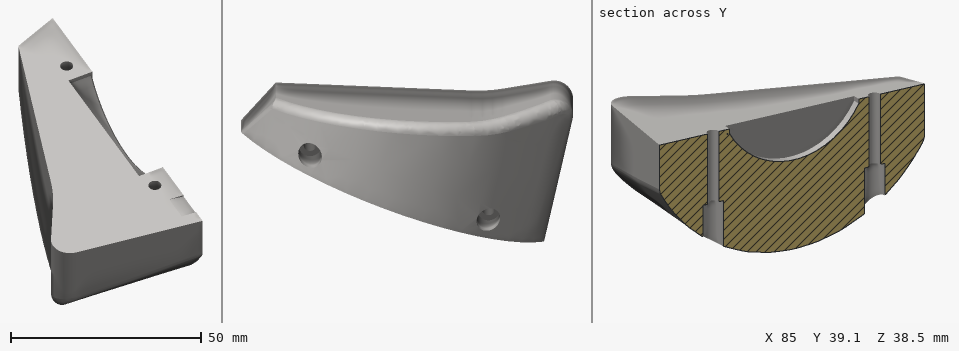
import math

import cadquery as cq

length = 85.0
depth = 39.11
height = 38.5
half_length = length / 2

left_corner_x = -37.5
bend_x = 15.4
bend_radius = 38.5
tip_radius = 5.0
left_front_angle = math.radians(18.0)
right_front_angle = math.radians(30.0)
right_side_angle = math.radians(8.17)

side_height = 12.5
belly_sag = height - side_height
belly_radius = (half_length**2 + belly_sag**2) / (2 * belly_sag)
belly_axis_z = belly_radius - height
belly_taper = math.radians(2.7)
belly_fillet = 3.0

notch_width = 40.0
notch_depth = 7.1
notch_wall = 1.3
notch_radius = 23.0
notch_chamfer = 0.5

hole_diameter = 3.4
counterbore_diameter = 6.2
counterbore_top_z = -20.0
hole_spacing = 50.0
hole_y = -5.0
hole_centres = [(-hole_spacing / 2, hole_y), (hole_spacing / 2, hole_y)]

pocket_left_x = 31.7
pocket_width = 7.1
pocket_depth = 4.1
pocket_skew = 0.3
pocket_back_fall = 0.5


def plan_prism():
    """Vertical prism with the plan outline, bend and tip rounded."""
    tip_y = tip_radius - depth
    tip_x = half_length - (tip_radius - tip_y * math.sin(right_side_angle)) / math.cos(right_side_angle)

    def tip_point(angle):
        return (tip_x + tip_radius * math.cos(angle), tip_y + tip_radius * math.sin(angle))

    tip_start = tip_point(-math.pi / 2 - right_front_angle)
    tip_bottom = tip_point(-math.pi / 2)
    tip_end = tip_point(-right_side_angle)
    bend_y = tip_start[1] + (tip_start[0] - bend_x) * math.tan(right_front_angle)
    left_corner_y = bend_y + (bend_x - left_corner_x) * math.tan(left_front_angle)

    prism = (
        cq.Workplane("XY")
        .moveTo(-half_length, 0)
        .lineTo(left_corner_x, left_corner_y)
        .lineTo(bend_x, bend_y)
        .lineTo(*tip_start)
        .threePointArc(tip_bottom, tip_end)
        .lineTo(half_length, 0)
        .close()
        .extrude(-height)
    )
    bend_edge = cq.selectors.NearestToPointSelector((bend_x, bend_y, -height / 2))
    return prism.edges(bend_edge).fillet(bend_radius)


def belly_cone():
    """Tapered round whose underside forms the belly."""
    front_radius = belly_radius - depth * math.tan(belly_taper)
    cone = cq.Solid.makeCone(
        belly_radius, front_radius, depth, cq.Vector(0, 0, belly_axis_z), cq.Vector(0, -1, 0)
    )
    return cq.Workplane(cone)


def body():
    """Prism trimmed by the belly, with the belly rim rounded except along the back."""
    trimmed = plan_prism().intersect(belly_cone())
    return trimmed.faces("%CONE").edges("not >Y").fillet(belly_fillet)


def cut_notch(part):
    """Cut the straight-sided, arc-floored notch and bevel the back edge of its floor."""
    half_width = notch_width / 2
    arc_rise = notch_radius - math.sqrt(notch_radius**2 - half_width**2)
    floor_z = -notch_wall - arc_rise
    cutter = (
        cq.Workplane("XZ")
        .moveTo(-half_width, 0)
        .lineTo(-half_width, -notch_wall)
        .threePointArc((0, floor_z), (half_width, -notch_wall))
        .lineTo(half_width, 0)
        .close()
        .extrude(notch_depth)
    )
    floor_back_edge = cq.selectors.NearestToPointSelector((0, 0, floor_z))
    return part.cut(cutter).edges(floor_back_edge).chamfer(notch_chamfer)


def screw_holes():
    """Through holes, widened from below."""
    holes = cq.Workplane("XY").pushPoints(hole_centres).circle(hole_diameter / 2).extrude(-height)
    counterbores = (
        cq.Workplane("XY")
        .workplane(offset=-height)
        .pushPoints(hole_centres)
        .circle(counterbore_diameter / 2)
        .extrude(height + counterbore_top_z)
    )
    return holes.union(counterbores)


def pocket():
    """Skewed recess open to the back, its floor falling from the top face towards the back."""
    wedge = (
        cq.Workplane("YZ")
        .polyline([(-pocket_depth, 0), (0, 0), (0, -pocket_back_fall)])
        .close()
        .extrude(half_length)
    )
    right_x = pocket_left_x + pocket_width
    outline = (
        cq.Workplane("XY")
        .polyline(
            [
                (pocket_left_x, 0),
                (right_x, 0),
                (right_x - pocket_skew, -pocket_depth),
                (pocket_left_x - pocket_skew, -pocket_depth),
            ]
        )
        .close()
        .extrude(-pocket_back_fall)
    )
    return outline.intersect(wedge)


result = cut_notch(body()).cut(screw_holes()).cut(pocket())